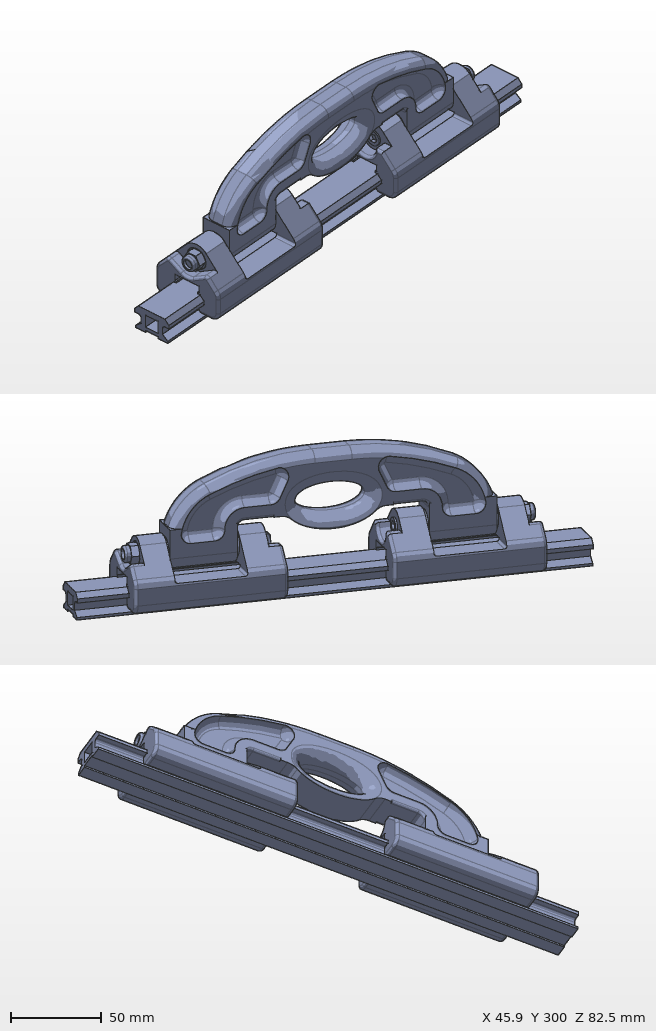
import cadquery as cq
import math

RAIL_LENGTH = 300.0
RAIL_HEIGHT = 15.5
RAIL_TOP_HALF = 9.5
WING_HALF = 12.45
WING_TOP_Z = 12.5
WING_UNDERSIDE_Z = 10.2
WEB_HALF = 7.8
WEB_FILLET = 1.8
FLANGE_HALF = 11.7
FLANGE_EDGE_Z = 1.5
FLANGE_ROOT_Z = 4.5
BORE_WIDTH = 9.0
BORE_BOTTOM_Z = 3.5
BORE_TOP_Z = 11.7
GROOVE_DEPTH = 1.2

CLAMP_LENGTH = 89.5
CLAMP_INNER_Y = 30.5
CLAMP_OUTER_Y = CLAMP_INNER_Y + CLAMP_LENGTH
CLAMP_MID_Y = CLAMP_INNER_Y + CLAMP_LENGTH / 2
CLAMP_HALF = 22.95
CLAMP_BOTTOM_Z = 2.7
CLAMP_BOTTOM_FILLET = 5.7
CLAMP_SHOULDER_FILLET = 7.5
CLAMP_END_FILLET = 1.8
FLANK_ANGLE = math.radians(47)
AXIS_Z = 31.5
LUG_RADIUS = 9.5
SLOT_LENGTH = 42.3
SLOT_FLOOR_Z = 19.2
SLOT_CORNER_RADIUS = 1.5
LUG_SETBACK = 8.0
WINDOW_HALF = 8.85
WINDOW_TOP_Z = 21.15
WINDOW_LIP_HALF = 7.8
WINDOW_LIP_Z = 16.8
HOOK_HALF = 8.7
HOOK_CHAMFER_Z = 4.95
HOOK_MOUTH_HALF = 11.0
SEAT_RADIUS = 7.95
SEAT_SLOPE = math.radians(30)
SEAT_RIM_FILLET = 2.5

BOLT_DIAMETER = 6.0
HEAD_DIAMETER = 9.5
HEAD_PROTRUSION = 1.05
SOCKET_ACROSS_FLATS = 5.0
SOCKET_DEPTH = 2.5
NUT_ACROSS_FLATS = 10.5
NUT_HEX_LENGTH = 4.2
NUT_LENGTH = 7.5
NUT_COLLAR_DIAMETER = 9.5
NUT_COLLAR_FILLET = 1.2
NUT_MOUTH_DEPTH = 1.8
NUT_RECESS_DIAMETER = 13.5
NUT_RECESS_DEPTH = 1.0

HANDLE_HALF = 9.5
HANDLE_TOP_Z = 82.5
HANDLE_EDGE_FILLET = 6.3
CROWN_HALF = 10.8
SHOULDER_Y = 73.5
SHOULDER_Z = 69.0
LEG_OUTER_Y = 95.0
LEG_INNER_Y = 55.8
LEG_SHOULDER_Z = 46.0
LEG_BOTTOM_FILLET = 7.2
UNDERSIDE_Z = 47.0
UNDERSIDE_FILLET = 4.2
UNDERSIDE_MIDDLE_Y = (LEG_INNER_Y - UNDERSIDE_FILLET) / 2
UNDERSIDE_EDGE_FILLET = 1.5
LEG_TOP_Z = UNDERSIDE_Z - UNDERSIDE_FILLET
HUB_DIAMETER = 16.0
EYE_Z = 53.85
EYE_HALF_LENGTH = 20.5
EYE_HALF_HEIGHT = 8.5
EYE_FILLET = 7.8
EYE_WALL = 8.55
EYE_STRIP_HALF = 34.8
EYE_BLEND_RADIUS = 9.0
POCKET_DEPTH = 5.7
POCKET_FLOOR_FILLET = 5.0
POCKET_CORNER_RADIUS = 5.7
POCKET_FOOT_Z = 37.0
POCKET_WALL = 7.5
POCKET_INNER_Y = LEG_INNER_Y + POCKET_WALL
POCKET_INNER_Z = UNDERSIDE_Z + POCKET_WALL
POCKET_HEEL_Y = 88.8
POCKET_SHOULDER = (72.0, 64.2)
POCKET_BACK_MIDDLE = (48.0, 72.3)
POCKET_TIP = (22.2, 76.8)
POCKET_NOSE_Y = 32.7


def mirrored_profile(half):
    """Closed XZ profile from the +X half listed from bottom to top."""
    return half + [(-x, z) for x, z in reversed(half)]


def extrude_along_y(points, y_start, y_end):
    """Prism over a closed XZ outline between two Y positions."""
    plane = cq.Workplane("XZ", origin=(0, y_start, 0))
    return plane.polyline(points).close().extrude(y_start - y_end)


def cylinder_along_y(diameter, y_start, y_end):
    """Round bar on the bolt axis between two Y positions."""
    plane = cq.Workplane("XZ", origin=(0, y_start, AXIS_Z))
    return plane.circle(diameter / 2).extrude(y_start - y_end)


def hexagon_along_y(across_flats, y_start, y_end):
    """Hexagonal bar on the bolt axis with flats on top and bottom."""
    plane = cq.Workplane("XZ", origin=(0, y_start, AXIS_Z))
    corner_diameter = across_flats / math.cos(math.pi / 6)
    return plane.polygon(6, corner_diameter).extrude(y_start - y_end)


def box_between(x_half, y_start, y_end, z_start, z_end):
    """Box centred on X between the given Y and Z limits."""
    size = (2 * x_half, y_end - y_start, z_end - z_start)
    corner = (-x_half, y_start, z_start)
    return cq.Workplane("XY", origin=corner).box(*size, centered=False)


def rail_envelope():
    half = [
        (FLANGE_HALF, 0),
        (FLANGE_HALF, FLANGE_EDGE_Z),
        (WEB_HALF, FLANGE_ROOT_Z),
        (WEB_HALF, WING_UNDERSIDE_Z),
        (WING_HALF, WING_UNDERSIDE_Z),
        (WING_HALF, WING_TOP_Z),
        (RAIL_TOP_HALF, RAIL_HEIGHT),
    ]
    envelope = extrude_along_y(mirrored_profile(half), -RAIL_LENGTH / 2, RAIL_LENGTH / 2)
    for x in (-WEB_HALF, WEB_HALF):
        corner = cq.selectors.NearestToPointSelector((x, 0, WING_UNDERSIDE_Z))
        envelope = envelope.edges(corner).fillet(WEB_FILLET)
    return envelope


def make_rail():
    end = RAIL_LENGTH / 2
    bore = box_between(BORE_WIDTH / 2, -end, end, BORE_BOTTOM_Z, BORE_TOP_Z)
    groove = box_between(BORE_WIDTH / 2, -end, end, 0, GROOVE_DEPTH)
    return rail_envelope().cut(bore).cut(groove)


def flank_top():
    """Point (x, z) where the +X flank runs tangent into the lug round."""
    return LUG_RADIUS * math.sin(FLANK_ANGLE), AXIS_Z + LUG_RADIUS * math.cos(FLANK_ANGLE)


def seat_tangent():
    """Point (x, z) where the +X side of the nut seat leaves its round bottom."""
    return SEAT_RADIUS * math.sin(SEAT_SLOPE), AXIS_Z - SEAT_RADIUS * math.cos(SEAT_SLOPE)


def clamp_block():
    tangent_x, tangent_z = flank_top()
    shoulder_z = tangent_z - (CLAMP_HALF - tangent_x) * math.tan(FLANK_ANGLE)
    block = (
        cq.Workplane("XZ", origin=(0, CLAMP_INNER_Y, 0))
        .moveTo(-CLAMP_HALF, CLAMP_BOTTOM_Z)
        .lineTo(CLAMP_HALF, CLAMP_BOTTOM_Z)
        .lineTo(CLAMP_HALF, shoulder_z)
        .lineTo(tangent_x, tangent_z)
        .threePointArc((0, AXIS_Z + LUG_RADIUS), (-tangent_x, tangent_z))
        .lineTo(-CLAMP_HALF, shoulder_z)
        .close()
        .extrude(-CLAMP_LENGTH)
    )
    for x in (-CLAMP_HALF, CLAMP_HALF):
        for z, radius in ((CLAMP_BOTTOM_Z, CLAMP_BOTTOM_FILLET), (shoulder_z, CLAMP_SHOULDER_FILLET)):
            corner = cq.selectors.NearestToPointSelector((x, CLAMP_MID_Y, z))
            block = block.edges(corner).fillet(radius)
    return block


def rail_passage():
    """Window above the rail, and the open throat between the hooks under its wings."""
    half = [
        (HOOK_MOUTH_HALF, CLAMP_BOTTOM_Z),
        (HOOK_HALF, HOOK_CHAMFER_Z),
        (HOOK_HALF, RAIL_HEIGHT - GROOVE_DEPTH),
        (WINDOW_LIP_HALF, RAIL_HEIGHT),
        (WINDOW_LIP_HALF, WINDOW_LIP_Z),
        (WINDOW_HALF, WINDOW_LIP_Z),
        (WINDOW_HALF, WINDOW_TOP_Z),
    ]
    return extrude_along_y(mirrored_profile(half), CLAMP_INNER_Y, CLAMP_OUTER_Y)


def handle_slot():
    slot = box_between(
        CLAMP_HALF,
        CLAMP_MID_Y - SLOT_LENGTH / 2,
        CLAMP_MID_Y + SLOT_LENGTH / 2,
        SLOT_FLOOR_Z,
        AXIS_Z + LUG_RADIUS,
    )
    return slot.edges("|X and <Z").fillet(SLOT_CORNER_RADIUS)


def nut_seat():
    """V-shaped seat whose flanks run tangent to its round bottom, in front of the outer lug."""
    tangent_x, tangent_z = seat_tangent()
    rim_z = tangent_z + (CLAMP_HALF - tangent_x) * math.tan(SEAT_SLOPE)
    top_z = AXIS_Z + LUG_RADIUS
    return (
        cq.Workplane("XZ", origin=(0, CLAMP_OUTER_Y - LUG_SETBACK, 0))
        .moveTo(-CLAMP_HALF, top_z)
        .lineTo(-CLAMP_HALF, rim_z)
        .lineTo(-tangent_x, tangent_z)
        .threePointArc((0, AXIS_Z - SEAT_RADIUS), (tangent_x, tangent_z))
        .lineTo(CLAMP_HALF, rim_z)
        .lineTo(CLAMP_HALF, top_z)
        .close()
        .extrude(-LUG_SETBACK)
    )


def round_seat_rims(clamp):
    """Round the two ridges where the nut seat breaks through the flanks."""
    flank_x, flank_z = flank_top()
    seat_x, seat_z = seat_tangent()
    flank_rate = math.tan(FLANK_ANGLE)
    seat_rate = math.tan(SEAT_SLOPE)
    rim_x = (flank_z - seat_z + flank_x * flank_rate + seat_x * seat_rate) / (flank_rate + seat_rate)
    rim_z = seat_z + (rim_x - seat_x) * seat_rate
    for x in (-rim_x, rim_x):
        rim = cq.selectors.NearestToPointSelector((x, CLAMP_OUTER_Y - LUG_SETBACK / 2, rim_z))
        clamp = clamp.edges(rim).fillet(SEAT_RIM_FILLET)
    return clamp


def head_seat():
    """Round trough and side ledges in front of the inner lug."""
    end_y = CLAMP_INNER_Y + LUG_SETBACK
    ledge = box_between(CLAMP_HALF, CLAMP_INNER_Y, end_y, AXIS_Z, AXIS_Z + LUG_RADIUS)
    return ledge.union(cylinder_along_y(2 * SEAT_RADIUS, CLAMP_INNER_Y, end_y))


def bolt_with_nut():
    head_y = CLAMP_INNER_Y + LUG_SETBACK - HEAD_PROTRUSION
    nut_y = CLAMP_OUTER_Y - LUG_SETBACK
    nut_end_y = nut_y + NUT_LENGTH
    shank = cylinder_along_y(BOLT_DIAMETER, head_y, nut_end_y - NUT_MOUTH_DEPTH)
    head = cylinder_along_y(HEAD_DIAMETER, head_y, CLAMP_INNER_Y + LUG_SETBACK)
    hexagon = hexagon_along_y(NUT_ACROSS_FLATS, nut_y - NUT_RECESS_DEPTH, nut_y + NUT_HEX_LENGTH)
    collar = cylinder_along_y(NUT_COLLAR_DIAMETER, nut_y, nut_end_y)
    collar = collar.faces(">Y").edges().fillet(NUT_COLLAR_FILLET)
    mouth = cylinder_along_y(BOLT_DIAMETER, nut_end_y - NUT_MOUTH_DEPTH, nut_end_y)
    nut = hexagon.union(collar).cut(mouth)
    return shank.union(head).union(nut)


def make_clamp():
    """Clamp on the +Y half of the rail, in one piece with its bolt and nut."""
    nut_face_y = CLAMP_OUTER_Y - LUG_SETBACK
    nut_recess = cylinder_along_y(NUT_RECESS_DIAMETER, nut_face_y - NUT_RECESS_DEPTH, nut_face_y)
    head_y = CLAMP_INNER_Y + LUG_SETBACK - HEAD_PROTRUSION
    socket = hexagon_along_y(SOCKET_ACROSS_FLATS, head_y, head_y + SOCKET_DEPTH)
    clamp = clamp_block().cut(nut_seat()).cut(head_seat())
    clamp = round_seat_rims(clamp)
    clamp = clamp.faces("<Y or >Y").edges().fillet(CLAMP_END_FILLET)
    clamp = clamp.cut(rail_passage()).cut(rail_envelope()).cut(handle_slot())
    return clamp.cut(nut_recess).union(bolt_with_nut()).cut(socket)


def both_ways(half):
    """Union of a shape and its mirror image across the XZ plane."""
    return half.union(half.mirror("XZ"))


def arch_half():
    """Arched plate on the +Y side, rounded along its back, down to the top of the leg."""
    arch = (
        cq.Workplane("YZ", origin=(-HANDLE_HALF, 0, 0))
        .moveTo(0, HANDLE_TOP_Z)
        .lineTo(CROWN_HALF, HANDLE_TOP_Z)
        .tangentArcPoint((SHOULDER_Y, SHOULDER_Z), relative=False)
        .tangentArcPoint((LEG_OUTER_Y, LEG_TOP_Z), relative=False)
        .lineTo(LEG_INNER_Y, LEG_TOP_Z)
        .radiusArc((LEG_INNER_Y - UNDERSIDE_FILLET, UNDERSIDE_Z), -UNDERSIDE_FILLET)
        .lineTo(0, UNDERSIDE_Z)
        .close()
        .extrude(2 * HANDLE_HALF)
    )
    for x in (-HANDLE_HALF, HANDLE_HALF):
        crown_edge = cq.selectors.NearestToPointSelector((x, CROWN_HALF / 2, HANDLE_TOP_Z))
        arch = arch.edges(crown_edge).fillet(HANDLE_EDGE_FILLET)
        underside_edge = cq.selectors.NearestToPointSelector((x, UNDERSIDE_MIDDLE_Y, UNDERSIDE_Z))
        arch = arch.edges(underside_edge).fillet(UNDERSIDE_EDGE_FILLET)
    return arch


def leg():
    """Straight leg with a rounded foot, and hubs that bear on the two lugs of a clamp."""
    foot_z = AXIS_Z - LUG_RADIUS
    body = box_between(HANDLE_HALF, LEG_INNER_Y, LEG_OUTER_Y, foot_z, LEG_SHOULDER_Z)
    body = body.edges("|Y and <Z").fillet(LEG_BOTTOM_FILLET)
    slot_start = CLAMP_MID_Y - SLOT_LENGTH / 2
    slot_end = CLAMP_MID_Y + SLOT_LENGTH / 2
    hubs = cylinder_along_y(HUB_DIAMETER, slot_start, slot_end)
    bore = cylinder_along_y(BOLT_DIAMETER, slot_start, slot_end)
    return body.union(hubs).cut(bore)


def eye_ellipse(margin):
    """Elliptical prism through the handle, the eye opening grown by a margin."""
    plane = cq.Workplane("YZ", origin=(-HANDLE_HALF, 0, EYE_Z))
    return plane.ellipse(EYE_HALF_LENGTH + margin, EYE_HALF_HEIGHT + margin).extrude(2 * HANDLE_HALF)


def pocket():
    """Recess in the -X face on the +Y side, its floor running into the walls in a concave round."""
    inner_bend_y = LEG_INNER_Y - UNDERSIDE_FILLET
    cutter = (
        cq.Workplane("YZ", origin=(-HANDLE_HALF, 0, 0))
        .moveTo(*POCKET_TIP)
        .threePointArc(POCKET_BACK_MIDDLE, POCKET_SHOULDER)
        .tangentArcPoint((POCKET_HEEL_Y, POCKET_FOOT_Z), relative=False)
        .lineTo(POCKET_INNER_Y, POCKET_FOOT_Z)
        .lineTo(POCKET_INNER_Y, LEG_TOP_Z)
        .tangentArcPoint((inner_bend_y, POCKET_INNER_Z), relative=False)
        .lineTo(POCKET_NOSE_Y, POCKET_INNER_Z)
        .close()
        .extrude(POCKET_DEPTH)
    )
    corners = (
        (POCKET_HEEL_Y, POCKET_FOOT_Z),
        (POCKET_INNER_Y, POCKET_FOOT_Z),
        (POCKET_NOSE_Y, POCKET_INNER_Z),
        POCKET_TIP,
    )
    for y, z in corners:
        corner = cq.selectors.NearestToPointSelector((-HANDLE_HALF + POCKET_DEPTH / 2, y, z))
        cutter = cutter.edges(corner).fillet(POCKET_CORNER_RADIUS)
    return cutter.faces(">X").edges().fillet(POCKET_FLOOR_FILLET)


def eye_boss():
    """Rim around the eye, blended into a short square-edged stretch of the underside."""
    strip = box_between(HANDLE_HALF, -EYE_STRIP_HALF, EYE_STRIP_HALF, UNDERSIDE_Z, EYE_Z)
    boss = eye_ellipse(EYE_WALL).union(strip)
    outer_half_length = EYE_HALF_LENGTH + EYE_WALL
    drop = (EYE_Z - UNDERSIDE_Z) / (EYE_HALF_HEIGHT + EYE_WALL)
    corner_y = outer_half_length * math.sqrt(1 - drop**2)
    for y in (-corner_y, corner_y):
        corner = cq.selectors.NearestToPointSelector((0, y, UNDERSIDE_Z))
        boss = boss.edges(corner).fillet(EYE_BLEND_RADIUS)
    return boss


def make_handle():
    handle = both_ways(arch_half()).union(eye_boss()).cut(eye_ellipse(0))
    for x in (-HANDLE_HALF, HANDLE_HALF):
        rim = cq.selectors.NearestToPointSelector((x, 0, EYE_Z))
        handle = handle.edges(rim).fillet(EYE_FILLET)
    handle = handle.union(both_ways(leg()))
    pockets = both_ways(pocket())
    return handle.cut(pockets).cut(pockets.mirror("YZ"))


rail = make_rail()
clamp = make_clamp()
handle = make_handle().union(make_clamp().mirror("XZ"))
result = cq.Compound.makeCompound([rail.val(), clamp.val(), handle.val()])